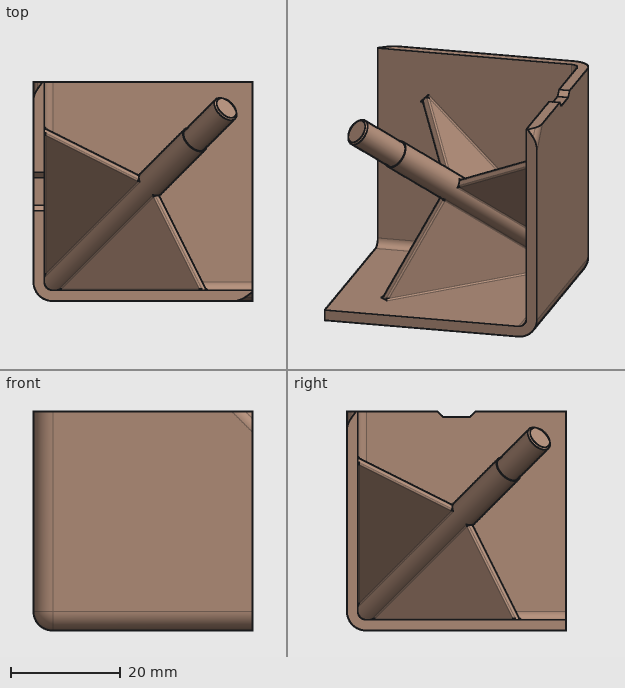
import cadquery as cq
import math

size = 40.0
wall = 2.0
inner_radius = 1.5
outer_radius = inner_radius + wall

pin_tip = 61.0
pin_end_length = 10.0
pin_diameter = 5.3
pin_end_diameter = 5.0
pin_chamfer = 0.3
pin_start = 4.8

rib_top = 37.1
rib_thickness = 1.5
rib_root = wall / 2
rib_fillet = 0.3
rib_start = 3.6

notch_depth = 1.0
notch_floor = 5.0

relief_radius = 2.5
relief_reach = 2.7

diagonal = cq.Vector(1, 1, 1).normalized()
corner_edges = "(<X and <Y) or (<X and <Z) or (<Y and <Z)"


def make_shell():
    outer = cq.Workplane("XY").box(size, size, size, centered=False)
    outer = outer.edges(corner_edges).fillet(outer_radius)
    cavity = cq.Workplane("XY").box(size, size, size, centered=False)
    cavity = cavity.edges(corner_edges).fillet(inner_radius)
    return outer.cut(cavity.translate((wall, wall, wall)))


def make_pin():
    axis = cq.Plane(origin=(0, 0, 0), xDir=(1, -1, 0), normal=diagonal)
    shoulder = pin_tip - pin_end_length
    body = cq.Workplane(axis).workplane(offset=pin_start)
    body = body.circle(pin_diameter / 2).extrude(shoulder - pin_start)
    end = cq.Workplane(axis).workplane(offset=shoulder)
    end = end.circle(pin_end_diameter / 2).extrude(pin_end_length)
    return body.union(end.faces(">(1, 1, 1)").chamfer(pin_chamfer))


def make_rib():
    """Rib on the X wall, lying in the plane y = z."""
    def along_wall_diagonal(x):
        return (rib_top * math.sqrt(3) - x) / math.sqrt(2)

    pin_point = rib_top / math.sqrt(3)
    plane = cq.Plane(origin=(0, 0, 0), xDir=(1, 0, 0), normal=(0, -1, 1))
    outline = [
        (rib_root, rib_start * math.sqrt(2)),
        (rib_start, rib_start * math.sqrt(2)),
        (pin_point, pin_point * math.sqrt(2)),
        (rib_root, along_wall_diagonal(rib_root)),
    ]
    rib = cq.Workplane(plane).polyline(outline).close().extrude(rib_thickness / 2, both=True)
    return rib.faces(">(1, 1, 1)").edges("|(2, -1, -1)").fillet(rib_fillet)


def flare_profile(plane, foot, side_meets, arc_center):
    """Flare symmetric about local x: concave arcs from the foot points to the rib sides."""
    foot_x, foot_y = foot
    center_x, center_y = arc_center
    chord_x = (foot_x + side_meets) / 2 - center_x
    chord_y = (foot_y + rib_thickness / 2) / 2 - center_y
    stretch = rib_fillet / math.hypot(chord_x, chord_y)
    middle_x = center_x + chord_x * stretch
    middle_y = center_y + chord_y * stretch
    return (
        cq.Workplane(plane)
        .moveTo(foot_x, foot_y)
        .threePointArc((middle_x, middle_y), (side_meets, rib_thickness / 2))
        .lineTo(side_meets, -rib_thickness / 2)
        .threePointArc((middle_x, -middle_y), (foot_x, -foot_y))
        .close()
    )


def make_wall_flare():
    """Root fillets between the rib and the X wall, ending flush with the rib's end face."""
    spread = rib_thickness / 2 + rib_fillet
    plane = cq.Plane(origin=(0, rib_start, rib_start), xDir=(1, 0, 0), normal=(0, 1, 1))
    profile = flare_profile(
        plane, (wall, spread), wall + rib_fillet, (wall + rib_fillet, spread)
    )
    beyond_end = cq.Workplane(cq.Plane(origin=diagonal * rib_top, normal=diagonal))
    beyond_end = beyond_end.rect(3 * size, 3 * size).extrude(size)
    return profile.extrude(size).cut(beyond_end)


def make_pin_flare():
    """Root fillets between the rib and the pin, on the pin's side facing the X wall."""
    spread = rib_thickness / 2 + rib_fillet
    pin_radius = pin_diameter / 2
    center_x = math.sqrt((pin_radius + rib_fillet) ** 2 - spread**2)
    touch = pin_radius / (pin_radius + rib_fillet)
    plane = cq.Plane(origin=diagonal * pin_start, xDir=(-2, 1, 1), normal=diagonal)
    profile = flare_profile(
        plane, (center_x * touch, spread * touch), center_x, (center_x, spread)
    )
    return profile.extrude(rib_top - pin_start)


def make_notch():
    half_floor = notch_floor / 2
    half_mouth = half_floor + notch_depth
    middle = size / 2
    outline = [
        (middle - half_mouth, size),
        (middle - half_floor, size - notch_depth),
        (middle + half_floor, size - notch_depth),
        (middle + half_mouth, size),
    ]
    return cq.Workplane("YZ").polyline(outline).close().extrude(wall)


def make_relief():
    """Cutter for the X wall: an arc leaving the outer face and running into a 45 degree flat."""
    plane = cq.Plane(origin=(0, size, size), xDir=(0, -1, -1), normal=(0, 1, -1))
    half_chord = relief_radius * math.sin(math.radians(22.5))
    middle = (
        relief_reach - half_chord,
        -relief_radius * (1 - math.cos(math.radians(22.5))),
    )
    arc_end = (
        relief_reach - relief_radius * math.sin(math.radians(45)),
        -relief_radius * (1 - math.cos(math.radians(45))),
    )
    corner_depth = arc_end[1] - arc_end[0]
    profile = (
        cq.Workplane(plane)
        .moveTo(relief_reach, 0)
        .threePointArc(middle, arc_end)
        .lineTo(0, corner_depth)
        .lineTo(0, 0)
        .close()
    )
    return profile.extrude(relief_reach, both=True)


def turned(shape, turns):
    """Rotate by thirds of a turn about the diagonal, carrying X to Y to Z."""
    return shape.rotate((0, 0, 0), (1, 1, 1), 120 * turns)


result = make_shell().union(make_pin())
for turn in range(3):
    for piece in (make_rib(), make_wall_flare(), make_pin_flare()):
        result = result.union(turned(piece, turn))
result = result.cut(make_notch()).cut(make_relief())
result = result.cut(make_relief().mirror("XZ").rotate((0, 0, 0), (0, 0, 1), 90))